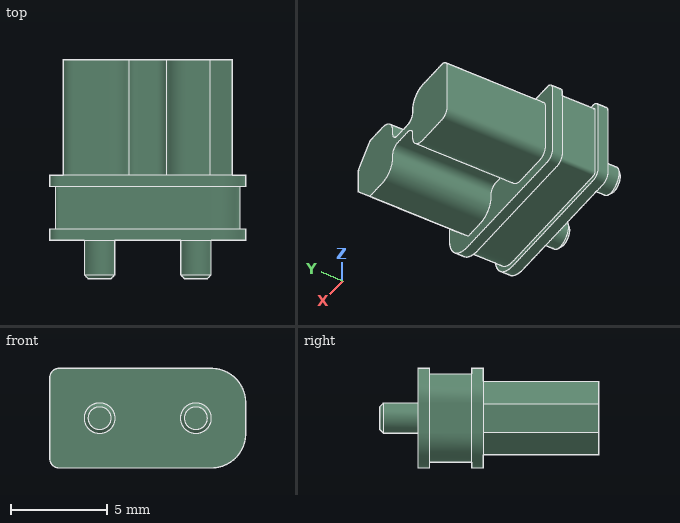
import cadquery as cq


collar_width = 10.2
collar_height = 5.2
flange_thickness = 0.6
waist_length = 2.19
waist_inset = 0.3
flange_small_radius = 0.5
flange_large_radius = 1.8
collar_length = 2 * flange_thickness + waist_length

pin_spacing = 5.0
pin_diameter = 1.6
pin_length = 2.0
pin_chamfer = 0.2

overall_length = 11.4
plug_width = 8.8
plug_height = 3.83
plug_length = overall_length - collar_length - pin_length
plug_edge_radius = 0.52
plug_edge_chamfer = 1.17

groove_floor_width = 1.0
groove_shoulder_radius = 1.0
groove_root_radius = 0.48
web_thickness = 0.5
groove_depth = (plug_height - web_thickness) / 2


def prism(profile, start_y, length):
    """Extrude an XZ profile from start_y toward +Y."""
    return profile.extrude(-length).translate((0, start_y, 0))


def collar_slab(inset, start_y, length):
    """Rounded slab; the inset shrinks the flange outline evenly on all sides."""
    outline = cq.Workplane("XZ").rect(collar_width - 2 * inset, collar_height - 2 * inset)
    slab = prism(outline, start_y, length)
    slab = slab.edges("|Y and <X").fillet(flange_small_radius - inset)
    return slab.edges("|Y and >X").fillet(flange_large_radius - inset)


def pin(center_x):
    """Round pin with a chamfered tip."""
    outline = cq.Workplane("XZ").center(center_x, 0).circle(pin_diameter / 2)
    return prism(outline, -pin_length, pin_length).faces("<Y").chamfer(pin_chamfer)


def groove():
    """Groove along the top of the plug: rounded shoulders, short upright walls and rounded roots."""
    top_z = plug_height / 2
    floor_z = top_z - groove_depth
    root_z = floor_z + groove_root_radius
    shoulder_z = top_z - groove_shoulder_radius
    floor_x = groove_floor_width / 2
    wall_x = floor_x + groove_root_radius
    mouth_x = wall_x + groove_shoulder_radius
    outline = (
        cq.Workplane("XZ")
        .moveTo(-mouth_x, top_z)
        .radiusArc((-wall_x, shoulder_z), groove_shoulder_radius)
        .lineTo(-wall_x, root_z)
        .radiusArc((-floor_x, floor_z), -groove_root_radius)
        .lineTo(floor_x, floor_z)
        .radiusArc((wall_x, root_z), -groove_root_radius)
        .lineTo(wall_x, shoulder_z)
        .radiusArc((mouth_x, top_z), groove_shoulder_radius)
        .close()
    )
    return prism(outline, collar_length, plug_length)


def plug():
    """Keyed plug body: rounded on -X, chamfered on +X, grooved above and below."""
    body = prism(cq.Workplane("XZ").rect(plug_width, plug_height), collar_length, plug_length)
    body = body.edges("|Y and <X").fillet(plug_edge_radius)
    body = body.edges("|Y and >X").chamfer(plug_edge_chamfer)
    top_groove = groove()
    return body.cut(top_groove).cut(top_groove.mirror("XY"))


result = collar_slab(0, 0, flange_thickness)
result = result.union(collar_slab(waist_inset, flange_thickness, waist_length))
result = result.union(collar_slab(0, flange_thickness + waist_length, flange_thickness))
result = result.union(plug())
for side in (-1, 1):
    result = result.union(pin(side * pin_spacing / 2))